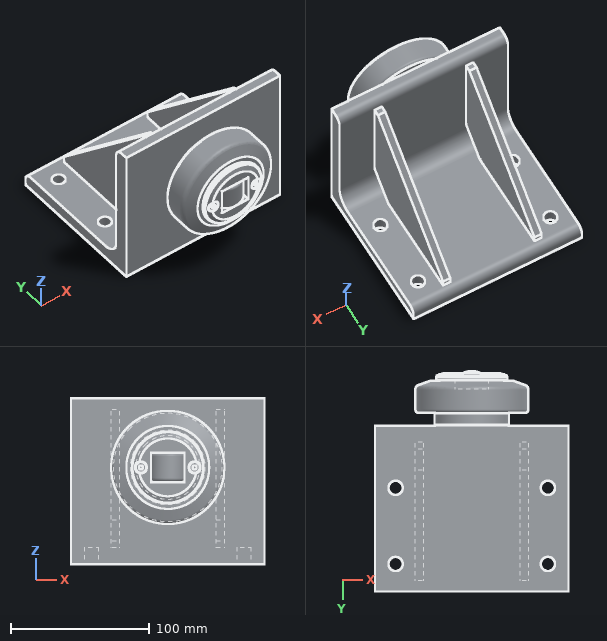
import cadquery as cq
import math

BRACKET_WIDTH = 140.0
LEG_LENGTH = 120.0
LEG_THICKNESS = 12.0
ROOT_RADIUS = 13.0
TOE_RADIUS = 6.5

HOLE_DIAMETER = 10.11
HOLE_SPACING_X = 110.0
HOLE_SPACING_Y = 55.0
HOLE_BACK_MARGIN = 20.0

RIB_THICKNESS = 6.0
RIB_CENTRE_X = 38.0
RIB_SETBACK = 8.0
RIB_END_FLAT = 5.0
RIB_ROOT_CUT = 20.0

ROLLER_HEIGHT = 70.0
STUB_DIAMETER = 54.0
STUB_CHAMFER = 0.6
RING_DIAMETER = 81.8
RING_BACK_DEPTH = 9.2
RING_FRONT_DEPTH = 32.4
RING_FACE_DIAMETER = 60.0
RING_CONE_ANGLE = 20.0
RING_BACK_RADIUS = 2.5
RING_BACK_ARC_SWEEP = 70.0
RING_FRONT_RADIUS = 3.6

CAP_GROOVE_DIAMETER = 46.2
CAP_GROOVE_DEPTH = 33.1
CAP_RIM_DIAMETER = 52.0
CAP_RIM_DEPTH = 34.9
CAP_BODY_DIAMETER = 51.0
CAP_BODY_DEPTH = 36.0
CAP_FACE_DIAMETER = 41.8
CAP_FACE_DEPTH = 37.8

WINDOW_WIDTH = 24.0
WINDOW_HEIGHT = 21.8
SIDE_ROLLER_RADIUS = 13.3
SIDE_ROLLER_LENGTH = 20.8
SIDE_ROLLER_END_RADIUS = 2.4
SIDE_ROLLER_TIP_DEPTH = 39.5
SIDE_ROLLER_AXIS_DEPTH = SIDE_ROLLER_TIP_DEPTH - SIDE_ROLLER_RADIUS

SCREW_CENTRE_X = 19.4
SCREW_RECESS_DIAMETER = 8.6
SCREW_RECESS_FLOOR_DEPTH = 33.5
SCREW_HEAD_DIAMETER = 7.8
SCREW_HEAD_DEPTH = 37.3
SCREW_SOCKET_DIAMETER = 3.0
SCREW_SOCKET_FLOOR_DEPTH = 35.3


def cylinder_between(x, diameter, start_depth, end_depth):
    """Cylinder along -Y at roller height, between two depths from the front face."""
    return (
        cq.Workplane("XZ", origin=(x, -start_depth, ROLLER_HEIGHT))
        .circle(diameter / 2)
        .extrude(end_depth - start_depth)
    )


def make_angle():
    profile = [
        (0, 0),
        (LEG_LENGTH, 0),
        (LEG_LENGTH, LEG_THICKNESS),
        (LEG_THICKNESS, LEG_THICKNESS),
        (LEG_THICKNESS, LEG_LENGTH),
        (0, LEG_LENGTH),
    ]
    angle = (
        cq.Workplane("YZ", origin=(-BRACKET_WIDTH / 2, 0, 0))
        .polyline(profile)
        .close()
        .extrude(BRACKET_WIDTH)
    )

    def long_edge(y, z):
        return cq.selectors.NearestToPointSelector((0, y, z))

    angle = angle.edges(long_edge(LEG_THICKNESS, LEG_THICKNESS)).fillet(ROOT_RADIUS)
    angle = angle.edges(long_edge(LEG_LENGTH, LEG_THICKNESS)).fillet(TOE_RADIUS)
    angle = angle.edges(long_edge(LEG_THICKNESS, LEG_LENGTH)).fillet(TOE_RADIUS)

    hole_centre_y = LEG_LENGTH - HOLE_BACK_MARGIN - HOLE_SPACING_Y / 2
    holes = (
        cq.Workplane("XY", origin=(0, hole_centre_y, 0))
        .rarray(HOLE_SPACING_X, HOLE_SPACING_Y, 2, 2)
        .circle(HOLE_DIAMETER / 2)
        .extrude(LEG_THICKNESS)
    )
    return angle.cut(holes)


def make_rib(centre_x):
    near = LEG_THICKNESS
    far = LEG_LENGTH - RIB_SETBACK
    profile = [
        (near + RIB_ROOT_CUT, near),
        (far, near),
        (far, near + RIB_END_FLAT),
        (near + RIB_END_FLAT, far),
        (near, far),
        (near, near + RIB_ROOT_CUT),
    ]
    return (
        cq.Workplane("YZ", origin=(centre_x - RIB_THICKNESS / 2, 0, 0))
        .polyline(profile)
        .close()
        .extrude(RIB_THICKNESS)
    )


def make_ring():
    """Rolling ring with a rounded back edge and a conical front blended into the rim."""
    rim = RING_DIAMETER / 2
    face = RING_FACE_DIAMETER / 2
    cone_length = (rim - face) * math.tan(math.radians(RING_CONE_ANGLE))
    cone_start_depth = RING_FRONT_DEPTH - cone_length
    arc_sweep = math.radians(RING_BACK_ARC_SWEEP)
    arc_end_depth = RING_BACK_DEPTH + RING_BACK_RADIUS * math.sin(arc_sweep)

    def back_arc_point(angle):
        """Point on the back rounding, with the angle measured from the rim's radius."""
        radius = rim - RING_BACK_RADIUS * (1 - math.cos(angle))
        depth = arc_end_depth - RING_BACK_RADIUS * math.sin(angle)
        return (radius, -depth)

    ring = (
        cq.Workplane("XY", origin=(0, 0, ROLLER_HEIGHT))
        .moveTo(0, -RING_BACK_DEPTH)
        .lineTo(*back_arc_point(arc_sweep))
        .threePointArc(back_arc_point(arc_sweep / 2), back_arc_point(0))
        .lineTo(rim, -cone_start_depth)
        .lineTo(face, -RING_FRONT_DEPTH)
        .lineTo(0, -RING_FRONT_DEPTH)
        .close()
        .revolve(360, (0, 0, 0), (0, 1, 0))
    )

    front_rim_edge = cq.selectors.NearestToPointSelector((0, -cone_start_depth, ROLLER_HEIGHT))
    return ring.edges(front_rim_edge).fillet(RING_FRONT_RADIUS)


def make_cap():
    groove = cylinder_between(0, CAP_GROOVE_DIAMETER, RING_FRONT_DEPTH, CAP_GROOVE_DEPTH)
    rim = cylinder_between(0, CAP_RIM_DIAMETER, CAP_GROOVE_DEPTH, CAP_RIM_DEPTH)
    body = cylinder_between(0, CAP_BODY_DIAMETER, CAP_RIM_DEPTH, CAP_BODY_DEPTH)
    crown = (
        cq.Workplane("XZ", origin=(0, -CAP_BODY_DEPTH, ROLLER_HEIGHT))
        .circle(CAP_BODY_DIAMETER / 2)
        .workplane(offset=CAP_FACE_DEPTH - CAP_BODY_DEPTH)
        .circle(CAP_FACE_DIAMETER / 2)
        .loft(ruled=True)
    )
    return groove.union(rim).union(body).union(crown)


def make_window():
    return (
        cq.Workplane("XZ", origin=(0, -SIDE_ROLLER_AXIS_DEPTH, ROLLER_HEIGHT))
        .rect(WINDOW_WIDTH, WINDOW_HEIGHT)
        .extrude(CAP_FACE_DEPTH - SIDE_ROLLER_AXIS_DEPTH)
    )


def make_side_roller():
    bottom = ROLLER_HEIGHT - SIDE_ROLLER_LENGTH / 2
    return (
        cq.Workplane("XY", origin=(0, -SIDE_ROLLER_AXIS_DEPTH, bottom))
        .circle(SIDE_ROLLER_RADIUS)
        .extrude(SIDE_ROLLER_LENGTH)
        .edges()
        .fillet(SIDE_ROLLER_END_RADIUS)
    )


def add_screw(body, x):
    recess = cylinder_between(x, SCREW_RECESS_DIAMETER, SCREW_RECESS_FLOOR_DEPTH, CAP_FACE_DEPTH)
    head = cylinder_between(x, SCREW_HEAD_DIAMETER, SCREW_RECESS_FLOOR_DEPTH, SCREW_HEAD_DEPTH)
    socket = cylinder_between(x, SCREW_SOCKET_DIAMETER, SCREW_SOCKET_FLOOR_DEPTH, SCREW_HEAD_DEPTH)
    return body.cut(recess).union(head.cut(socket))


def make_roller():
    stub = cylinder_between(0, STUB_DIAMETER, 0, RING_BACK_DEPTH)
    stub = stub.faces("<Y or >Y").chamfer(STUB_CHAMFER)
    roller = stub.union(make_ring()).union(make_cap())
    roller = roller.cut(make_window()).union(make_side_roller())
    for side in (-1, 1):
        roller = add_screw(roller, side * SCREW_CENTRE_X)
    return roller


result = make_angle()
for rib_side in (-1, 1):
    result = result.union(make_rib(rib_side * RIB_CENTRE_X))
result = result.union(make_roller())